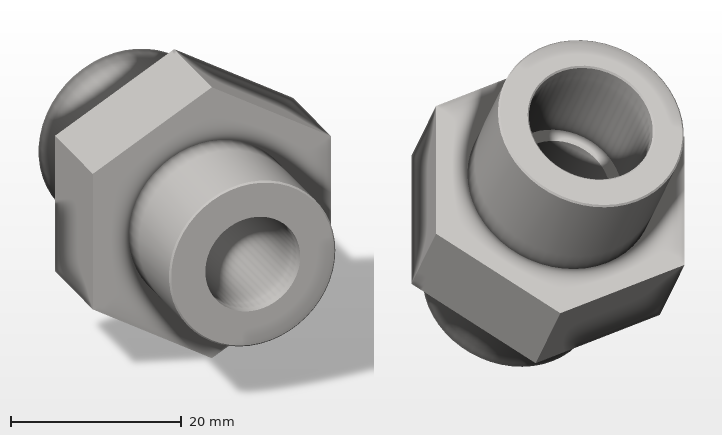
import cadquery as cq
import math

left_length = 15.0
hex_length = 12.0
right_length = 13.0
total_length = left_length + hex_length + right_length

across_flats = 30.0
across_corners = across_flats / math.cos(math.pi / 6)
left_diameter = 22.45
right_diameter = 20.95
socket_diameter = 14.95
bore_diameter = 11.95

socket_depth = left_length
edge_chamfer = 0.2


def cylinder(start, length, diameter):
    """Cylinder along +X, centred on the X axis."""
    return cq.Workplane("YZ", origin=(start, 0, 0)).circle(diameter / 2).extrude(length)


left_end = cylinder(0, left_length, left_diameter).faces("<X").chamfer(edge_chamfer)
right_start = left_length + hex_length
right_end = cylinder(right_start, right_length, right_diameter).faces(">X").chamfer(edge_chamfer)

hexagon = (
    cq.Workplane("YZ", origin=(left_length, 0, 0))
    .transformed(rotate=(0, 0, 90))
    .polygon(6, across_corners)
    .extrude(hex_length)
)

bore = cylinder(0, total_length, bore_diameter)
socket = cylinder(0, socket_depth, socket_diameter)
socket_mouth = cq.Workplane("YZ").circle(socket_diameter / 2 + edge_chamfer)
socket_mouth = socket_mouth.workplane(offset=edge_chamfer).circle(socket_diameter / 2).loft()

body = left_end.union(hexagon).union(right_end)
result = body.cut(bore).cut(socket).cut(socket_mouth)